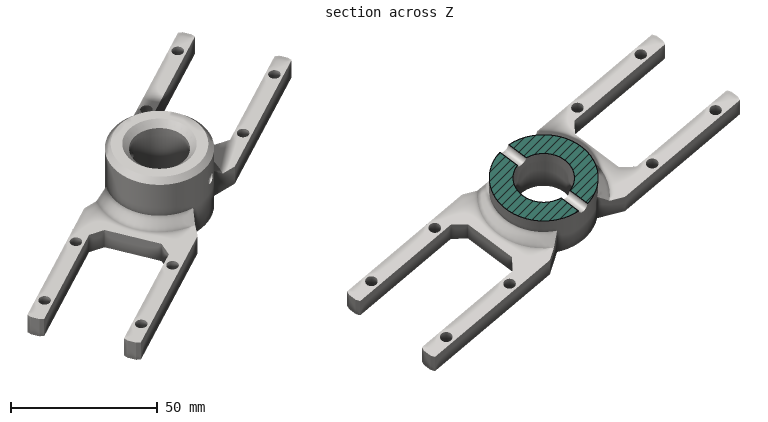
import cadquery as cq

length = 153.0
width = 41.2
plate_height = 8.0
prong_width = 6.1
slot_floor_y = 26.6
slot_corner = 4.1
shoulder_y = 18.7
waist_x = 15.8
waist_y = 10.0
tip_bevel_x = 1.5
tip_bevel_y = 0.6

hub_height = 28.2
hub_radius = 18.7
hub_chamfer = 2.0
bore_radius = 10.4
bore_chamfer = 2.3
skirt_top_z = 12.0

hole_diameter = 4.3
outer_hole_y = 67.0
hole_pitch = 31.5
cross_hole_z = 18.0

half_length = length / 2
half_width = width / 2
slot_half_width = half_width - prong_width
prong_center_x = half_width - prong_width / 2


def fork_half_profile():
    """Right half outline of the +Y fork, from the hub out to the tip and back to the slot."""
    return [
        (waist_x, waist_y),
        (half_width, shoulder_y),
        (half_width, half_length - tip_bevel_y),
        (half_width - tip_bevel_x, half_length),
        (slot_half_width + tip_bevel_x, half_length),
        (slot_half_width, half_length - tip_bevel_y),
        (slot_half_width, slot_floor_y + slot_corner),
        (slot_half_width - slot_corner, slot_floor_y),
    ]


def fork_prism(points, height):
    """Extrude the +Y fork outline, closed through the hub axis, and its -Y twin."""
    right = [(0, 0)] + points
    left = [(-x, y) for x, y in reversed(points)]
    fork = cq.Workplane("XY").polyline(right + left).close().extrude(height)
    return fork.union(fork.mirror("XZ"))


def make_skirt():
    """45 degree cone around the hub, trimmed to the tapered sides of the forks."""
    skirt_height = skirt_top_z - plate_height
    cone = (
        cq.Workplane("XZ")
        .moveTo(0, plate_height)
        .lineTo(hub_radius + skirt_height, plate_height)
        .lineTo(hub_radius, skirt_top_z)
        .lineTo(0, skirt_top_z)
        .close()
        .revolve(360, (0, 0, 0), (0, 1, 0))
    )
    return cone.intersect(fork_prism(fork_half_profile(), skirt_top_z))


def make_hub():
    """Cylinder with a chamfered top rim."""
    hub = cq.Workplane("XY").circle(hub_radius).extrude(hub_height)
    return hub.faces(">Z").chamfer(hub_chamfer)


def make_bore():
    """Through bore with a chamfered mouth at the top."""
    return (
        cq.Workplane("XZ")
        .lineTo(bore_radius, 0)
        .lineTo(bore_radius, hub_height - bore_chamfer)
        .lineTo(bore_radius + bore_chamfer, hub_height)
        .lineTo(0, hub_height)
        .close()
        .revolve(360, (0, 0, 0), (0, 1, 0))
    )


def make_prong_holes():
    """Two vertical holes through each prong."""
    centers = [
        (side * prong_center_x, end * y)
        for side in (-1, 1)
        for end in (-1, 1)
        for y in (outer_hole_y, outer_hole_y - hole_pitch)
    ]
    return cq.Workplane("XY").pushPoints(centers).circle(hole_diameter / 2).extrude(plate_height)


def make_cross_hole():
    """Hole along X through both walls of the hub."""
    return (
        cq.Workplane("YZ")
        .center(0, cross_hole_z)
        .circle(hole_diameter / 2)
        .extrude(hub_radius, both=True)
    )


plate = fork_prism(fork_half_profile(), plate_height)
body = plate.union(make_skirt()).union(make_hub())
result = body.cut(make_bore()).cut(make_prong_holes()).cut(make_cross_hole())